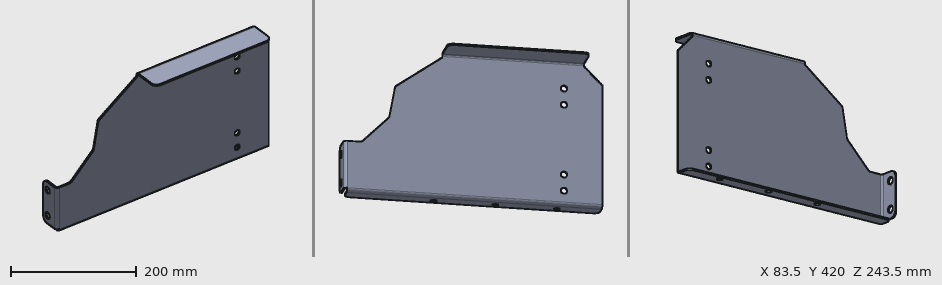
import cadquery as cq

length = 420.0
height = 243.5
width = 83.5
thickness = 3.0
inner_bend_radius = 3.0
bend_radius = inner_bend_radius + thickness
corner_radius = 10.0

front_flange_width = 36.0
web_right = front_flange_width
web_left = web_right - thickness
web_top = height - bend_radius
web_hole_diameter = 10.0
web_hole_y = 357.5
web_hole_heights = [24.8, 52.0, 169.5, 197.0]
rear_chamfer = 30.0
top_relief = 1.5
shoulder_y, shoulder_z = 83.5, 182.0
throat_y, throat_z = 74.0, 129.5
shoulder_radius = 6.0
throat_radius = 8.0
front_step_y = 29.0

top_flange_front = 160.0
top_flange_back = length - rear_chamfer

front_flange_top = 85.0
front_hole_diameter = 12.0
front_hole_x = 12.0
front_hole_spacing = 48.0

bottom_flange_left = 6.5
bottom_hole_diameter = 10.0
bottom_hole_x = 15.0
bottom_hole_pitch = 100.0
bottom_hole_first_y = 150.0


def box(x0, x1, y0, y1, z0, z1):
    """Box between two opposite corners."""
    return cq.Workplane("XY").box(x1 - x0, y1 - y0, z1 - z0, centered=False).translate((x0, y0, z0))


def bend(plane, axis_point, start, end, corner):
    """Quarter tube along the plane normal; corner gives the signs of its quadrant."""
    span = end - start
    ring = cq.Workplane(plane).circle(bend_radius).circle(inner_bend_radius).extrude(span)
    quadrant = (
        cq.Workplane(plane)
        .center(corner[0] * bend_radius / 2, corner[1] * bend_radius / 2)
        .rect(bend_radius, bend_radius)
        .extrude(span)
    )
    return ring.intersect(quadrant).translate(axis_point)


def make_web():
    slope_top = web_top - top_relief
    outline = [
        (bend_radius, bend_radius),
        (length, bend_radius),
        (length, slope_top - rear_chamfer),
        (top_flange_back, slope_top),
        (top_flange_back, web_top),
        (top_flange_front, web_top),
        (top_flange_front, slope_top),
        (shoulder_y, shoulder_z),
        (throat_y, throat_z),
        (front_step_y, front_flange_top),
        (bend_radius, front_flange_top),
    ]
    web = cq.Workplane("YZ").polyline(outline).close().extrude(thickness).translate((web_left, 0, 0))

    def round_edge(body, y, z, radius):
        nearest = cq.selectors.NearestToPointSelector((web_left + thickness / 2, y, z))
        return body.edges("|X").edges(nearest).fillet(radius)

    web = round_edge(web, shoulder_y, shoulder_z, shoulder_radius)
    web = round_edge(web, throat_y, throat_z, throat_radius)
    web = round_edge(web, front_step_y, front_flange_top, throat_radius)
    holes = (
        cq.Workplane("YZ")
        .pushPoints([(web_hole_y, z) for z in web_hole_heights])
        .circle(web_hole_diameter / 2)
        .extrude(width)
    )
    return web.cut(holes)


def make_top_flange():
    bend_x = web_left + bend_radius
    plate = box(bend_x, width, top_flange_front, top_flange_back, height - thickness, height)
    plate = plate.edges("|Z and >X").fillet(corner_radius)
    corner = bend("XZ", (bend_x, top_flange_back, web_top), top_flange_front, top_flange_back, (-1, 1))
    return plate.union(corner)


def make_bottom_flange():
    bend_x = web_right - bend_radius
    plate = box(bottom_flange_left, bend_x, bend_radius, length, 0, thickness)
    plate = plate.edges("|Z and <X").fillet(corner_radius)
    holes = (
        cq.Workplane("XY")
        .pushPoints([(bottom_hole_x, bottom_hole_first_y + i * bottom_hole_pitch) for i in range(3)])
        .circle(bottom_hole_diameter / 2)
        .extrude(thickness)
    )
    corner = bend("XZ", (bend_x, length, bend_radius), bend_radius, length, (1, -1))
    return plate.cut(holes).union(corner)


def make_front_flange():
    bend_x = web_right - bend_radius
    plate = box(0, bend_x, 0, thickness, bend_radius, front_flange_top)
    plate = plate.edges("|Y and <X").fillet(corner_radius)
    middle_z = (bend_radius + front_flange_top) / 2
    holes = (
        cq.Workplane("XZ")
        .pushPoints([(front_hole_x, middle_z + side * front_hole_spacing / 2) for side in (-1, 1)])
        .circle(front_hole_diameter / 2)
        .extrude(-thickness)
    )
    corner = bend("XY", (bend_x, bend_radius, bend_radius), bend_radius, front_flange_top, (1, -1))
    return plate.cut(holes).union(corner)


result = make_web().union(make_top_flange()).union(make_bottom_flange()).union(make_front_flange())